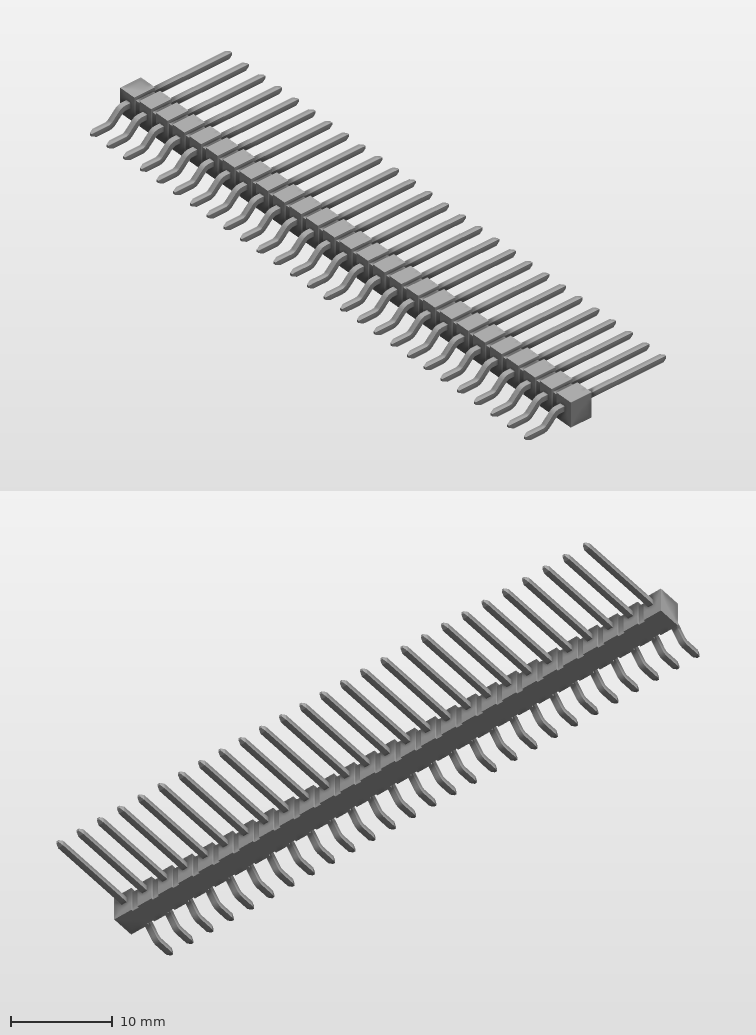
import cadquery as cq
import math

pin_count = 27
pitch = 2.54
row_length = pin_count * pitch
first_pin_x = -(pin_count - 1) / 2 * pitch
pin_positions = [first_pin_x + index * pitch for index in range(pin_count)]

strip_height = 3.05
strip_depth = 2.67
notch_width = 0.76
notch_side_depth = 0.2
notch_top_depth = 0.44

pin_size = 0.635
pin_length = 18.03
pin_axis_height = 1.76
post_reach = 10.52
knee_reach = 0.95
bend_angle = math.radians(45)
bend_radius = 0.92
tip_length = 0.5
tip_size = 0.28

strip_back = strip_depth / 2
strip_front = -strip_back
post_end = strip_back + post_reach
foot_end = post_end - pin_length
foot_axis_height = pin_size / 2
knee_y = strip_front - knee_reach
heel_y = knee_y - (pin_axis_height - foot_axis_height) / math.tan(bend_angle)


def make_tip(base_y, end_y, height):
    """Square taper that closes one end of a pin."""
    return (
        cq.Workplane("XZ", origin=(0, base_y, height))
        .rect(pin_size, pin_size)
        .workplane(offset=base_y - end_y)
        .rect(tip_size, tip_size)
        .loft(ruled=True)
    )


def make_pin():
    """Straight post, two rounded bends down to the foot, and a taper at both ends."""
    tangent = bend_radius * math.tan(bend_angle / 2)
    slope_run = tangent * math.cos(bend_angle)
    slope_drop = tangent * math.sin(bend_angle)
    mid_run = tangent - bend_radius * math.sin(bend_angle / 2)
    mid_drop = bend_radius * (1 - math.cos(bend_angle / 2))

    post_base = post_end - tip_length
    foot_base = foot_end + tip_length
    path = (
        cq.Workplane("YZ")
        .moveTo(post_base, pin_axis_height)
        .lineTo(knee_y + tangent, pin_axis_height)
        .threePointArc(
            (knee_y + mid_run, pin_axis_height - mid_drop),
            (knee_y - slope_run, pin_axis_height - slope_drop),
        )
        .lineTo(heel_y + slope_run, foot_axis_height + slope_drop)
        .threePointArc(
            (heel_y - mid_run, foot_axis_height + mid_drop),
            (heel_y - tangent, foot_axis_height),
        )
        .lineTo(foot_base, foot_axis_height)
    )
    section = cq.Workplane("XZ", origin=(0, post_base, pin_axis_height)).rect(pin_size, pin_size)
    pin = section.sweep(path)
    pin = pin.union(make_tip(post_base, post_end, pin_axis_height))
    pin = pin.union(make_tip(foot_base, foot_end, foot_axis_height))
    return pin


def make_strip():
    """Bar with a notch across its top and both sides midway between neighbouring pins."""
    upright = (True, True, False)
    bar = cq.Workplane("XY").box(row_length, strip_depth, strip_height, centered=upright)
    core = cq.Workplane("XY").box(
        row_length, strip_depth - 2 * notch_side_depth, strip_height - notch_top_depth, centered=upright
    )
    notch_centers = [(x + pitch / 2, 0) for x in pin_positions[:-1]]
    slices = cq.Workplane("XY").pushPoints(notch_centers).rect(notch_width, strip_depth).extrude(strip_height)
    return bar.cut(slices.cut(core))


def place_pins(positions):
    """Copies of the pin, one solid at each X position."""
    pin = make_pin().val()
    return cq.Workplane("XY").newObject([pin.translate(cq.Vector(x, 0, 0)) for x in positions])


inner_pins = place_pins(pin_positions[1:-1])
end_pins = place_pins([pin_positions[0], pin_positions[-1]])
header = make_strip().union(inner_pins).cut(end_pins)

result = cq.Compound.makeCompound([header.val(), *end_pins.vals()])